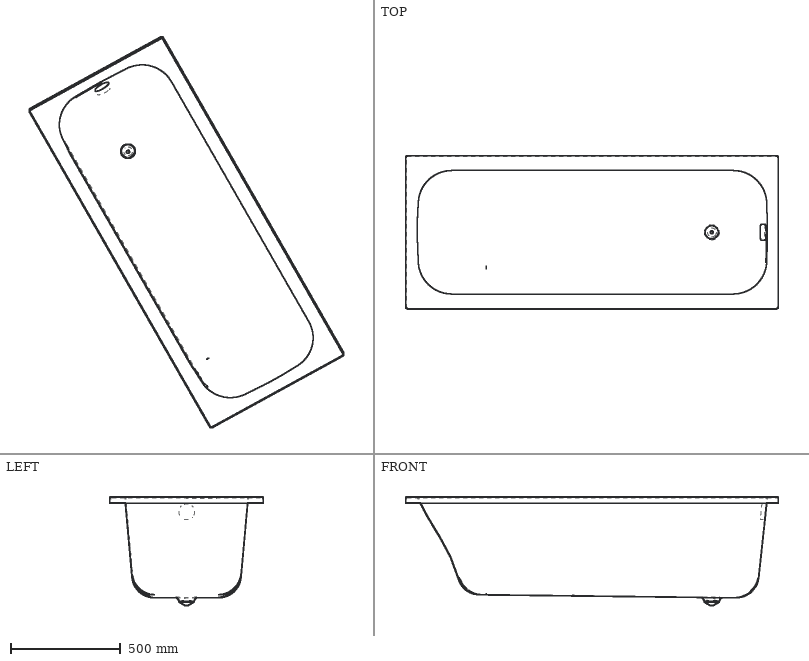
import cadquery as cq
import math

SHEET = 3.5

RIM_LENGTH = 1700.0
RIM_WIDTH = 700.0
SKIRT_HEIGHT = 28.0
RIM_CORNER_RADIUS = 10.0
RIM_EDGE_RADIUS = 5.0
OPENING_RADIUS = 6.0

RIM_MARGIN = 20.0
OPENING_BAND = 1.0
RECESS_JOINT_BAND = 3.0

HEAD_PROFILE = [(0.0, -795.0), (-135.0, -721.0), (-270.0, -645.0), (-370.0, -608.0), (-500.0, -594.0)]
FOOT_TOP_X = 797.0
FOOT_SLOPE = 0.108
SIDE_TOP_Y = 278.5
SIDE_SLOPE = 0.09
HEAD_BOW = 20.0
FOOT_BOW = 14.0
CORNER_TOP_RADIUS = 150.0
CORNER_SLOPE = 0.09

FLOOR_MIDDLE_Z = -449.5
FLOOR_FALL = 0.012
FLOOR_RADIUS = 101.0

DRAIN_X = 546.0
RECESS_TOP_RADIUS = 40.0
RECESS_BOTTOM_RADIUS = 30.0
RECESS_BOTTOM_Z = -476.5
RECESS_BLEND_RADIUS = 14.0
RECESS_EMBED = 10.0

DRAIN_HOLE_RADIUS = 20.0
DRAIN_CONE_RADIUS = RECESS_BOTTOM_RADIUS + SHEET
DRAIN_TIP_RADIUS = 7.0
DRAIN_TIP_Z = -495.72

PLUG_RADIUS = RECESS_BOTTOM_RADIUS
PLUG_EDGE_HEIGHT = 2.0
PLUG_SHOULDER_HEIGHT = 8.0
PLUG_KNOB_RADIUS = 20.0
PLUG_KNOB_TOP_RADIUS = 6.0
PLUG_KNOB_HEIGHT = 16.0

KNOB_RADIUS = 36.0
KNOB_Z = -67.0
KNOB_DEPTH = 20.0
KNOB_EDGE_RADIUS = 3.0

BIG = 3000.0


def wall_section(z, head_x, grow):
    """Horizontal outline of the basin: straight sides, bowed ends, round corners."""
    foot_x = FOOT_TOP_X + FOOT_SLOPE * z + grow
    head_x = head_x - grow
    side_y = SIDE_TOP_Y + SIDE_SLOPE * z + grow
    corner_radius = CORNER_TOP_RADIUS + CORNER_SLOPE * z + grow
    head_side_x = head_x + HEAD_BOW
    foot_side_x = foot_x - FOOT_BOW
    outline = (
        cq.Workplane("XY", origin=(0, 0, z))
        .moveTo(head_side_x, -side_y)
        .lineTo(foot_side_x, -side_y)
        .threePointArc((foot_x, 0), (foot_side_x, side_y))
        .lineTo(head_side_x, side_y)
        .threePointArc((head_x, 0), (head_side_x, -side_y))
        .close()
        .val()
    )
    return outline.fillet2D(corner_radius, outline.Vertices())


def basin(grow):
    """Solid filling the basin and its drain recess, with walls and floor moved outwards by `grow`."""
    sections = [wall_section(z, head_x, grow) for z, head_x in HEAD_PROFILE]
    block = cq.Workplane(cq.Solid.makeLoft(sections))
    floor_z = FLOOR_MIDDLE_Z - grow
    tilt = math.degrees(math.atan(FLOOR_FALL))
    below = (
        cq.Workplane("XY")
        .box(BIG, BIG, BIG, centered=(True, True, False))
        .translate((0, 0, -BIG))
        .rotate((0, 0, 0), (0, 1, 0), tilt)
        .translate((0, 0, floor_z))
    )
    body = block.cut(below).faces("<Z").edges().fillet(FLOOR_RADIUS + grow)
    return add_recess(body, grow)


def turned(profile):
    """Solid turned about the drain axis from (radius, z) points running from axis to axis."""
    return (
        cq.Workplane("XZ", origin=(DRAIN_X, 0, 0))
        .polyline(profile)
        .close()
        .revolve(360, (0, 0), (0, 1))
    )


def add_recess(body, grow):
    """Join the conical drain recess to the basin floor with a blended rim."""
    floor_z = FLOOR_MIDDLE_Z - FLOOR_FALL * DRAIN_X
    slope = (RECESS_TOP_RADIUS - RECESS_BOTTOM_RADIUS) / (floor_z - RECESS_BOTTOM_Z)
    top_z = floor_z + RECESS_EMBED
    cone = turned(
        [
            (0, RECESS_BOTTOM_Z - grow),
            (RECESS_BOTTOM_RADIUS + grow, RECESS_BOTTOM_Z - grow),
            (RECESS_TOP_RADIUS + grow + slope * RECESS_EMBED, top_z),
            (0, top_z),
        ]
    )
    reach = RECESS_TOP_RADIUS + RECESS_BLEND_RADIUS
    joint = cq.selectors.BoxSelector(
        (DRAIN_X - reach, -reach, floor_z - grow - RECESS_JOINT_BAND),
        (DRAIN_X + reach, reach, floor_z - grow + RECESS_JOINT_BAND),
    )
    return body.union(cone).edges(joint).fillet(RECESS_BLEND_RADIUS - grow)


def make_tub(inside, outside):
    """Sheet tub: flat rim, folded skirt, basin walls and floor."""
    rim = (
        cq.Workplane("XY")
        .box(RIM_LENGTH, RIM_WIDTH, SKIRT_HEIGHT, centered=(True, True, False))
        .translate((0, 0, -SKIRT_HEIGHT))
        .edges("|Z")
        .fillet(RIM_CORNER_RADIUS)
        .faces(">Z")
        .edges()
        .fillet(RIM_EDGE_RADIUS)
    )
    underside = (
        cq.Workplane("XY", origin=(0, 0, -SKIRT_HEIGHT))
        .rect(RIM_LENGTH - 2 * SHEET, RIM_WIDTH - 2 * SHEET)
        .extrude(SKIRT_HEIGHT - SHEET)
        .edges("|Z")
        .fillet(RIM_CORNER_RADIUS - SHEET)
        .faces(">Z")
        .edges()
        .fillet(RIM_EDGE_RADIUS - SHEET)
    )
    opening = cq.selectors.BoxSelector(
        (-RIM_LENGTH / 2 + RIM_MARGIN, -RIM_WIDTH / 2 + RIM_MARGIN, -OPENING_BAND),
        (RIM_LENGTH / 2 - RIM_MARGIN, RIM_WIDTH / 2 - RIM_MARGIN, OPENING_BAND),
    )
    drain_hole = (
        cq.Workplane("XY", origin=(DRAIN_X, 0, RECESS_BOTTOM_Z - SHEET))
        .circle(DRAIN_HOLE_RADIUS)
        .extrude(SHEET)
    )
    tub = rim.cut(underside).union(outside).cut(inside)
    return tub.edges(opening).fillet(OPENING_RADIUS).cut(drain_hole)


def make_drain_fitting():
    """Cone under the recess with a spigot filling the drain hole."""
    shoulder_z = RECESS_BOTTOM_Z - SHEET
    return turned(
        [
            (0, DRAIN_TIP_Z),
            (DRAIN_TIP_RADIUS, DRAIN_TIP_Z),
            (DRAIN_CONE_RADIUS, shoulder_z),
            (DRAIN_HOLE_RADIUS, shoulder_z),
            (DRAIN_HOLE_RADIUS, RECESS_BOTTOM_Z),
            (0, RECESS_BOTTOM_Z),
        ]
    )


def make_plug():
    """Low cone with a raised tapered knob in the middle."""
    base_z = RECESS_BOTTOM_Z
    return turned(
        [
            (0, base_z),
            (PLUG_RADIUS, base_z),
            (PLUG_RADIUS, base_z + PLUG_EDGE_HEIGHT),
            (PLUG_KNOB_RADIUS, base_z + PLUG_SHOULDER_HEIGHT),
            (PLUG_KNOB_TOP_RADIUS, base_z + PLUG_KNOB_HEIGHT),
            (0, base_z + PLUG_KNOB_HEIGHT),
        ]
    )


def make_overflow_knob(inside):
    """Disc square to the sloping foot wall, its back shaped to the wall."""
    wall_x = FOOT_TOP_X + FOOT_SLOPE * KNOB_Z
    wall_plane = cq.Plane(origin=(wall_x, 0, KNOB_Z), xDir=(0, 1, 0), normal=(-1, 0, FOOT_SLOPE))
    disc = (
        cq.Workplane(wall_plane)
        .circle(KNOB_RADIUS)
        .extrude(KNOB_DEPTH)
        .faces("<X")
        .edges()
        .fillet(KNOB_EDGE_RADIUS)
    )
    return disc.intersect(inside)


inside = basin(0)
outside = basin(SHEET)
tub = make_tub(inside, outside)
drain_fitting = make_drain_fitting()
plug = make_plug()
overflow_knob = make_overflow_knob(inside)

result = cq.Compound.makeCompound([tub.val(), drain_fitting.val(), plug.val(), overflow_knob.val()])